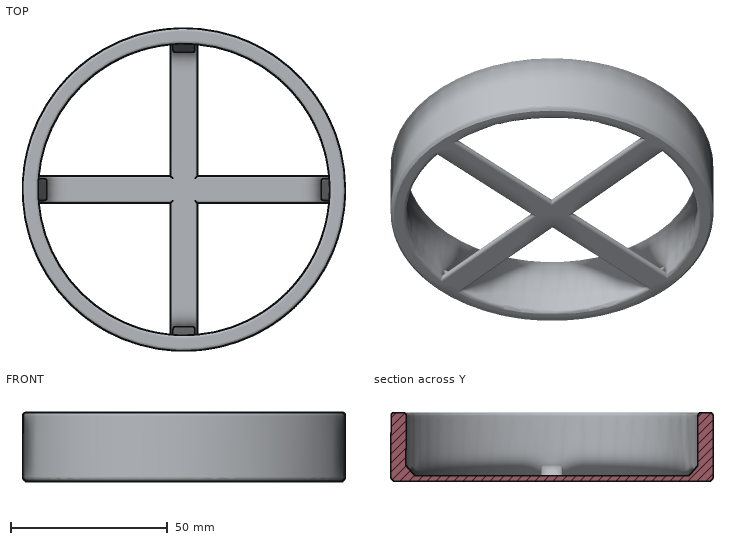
import cadquery as cq

outer_diameter = 103.0
inner_diameter = 93.0
ring_height = 22.0
rim_round = 1.0
foot_chamfer = 0.98
foot_blend = 1.1

bar_width = 8.7
bar_thickness = 2.0
bar_round = 0.8

gusset_width = bar_width - 2 * bar_round
gusset_leg = 2.8
gusset_height = 3.2
gusset_round = 0.8

inner_radius = inner_diameter / 2
wall = (outer_diameter - inner_diameter) / 2
root_radius = inner_radius + wall / 2


def make_ring():
    """Ring with rounded rims and a softened chamfer around the outside of its foot."""
    outer_radius = outer_diameter / 2
    body = cq.Workplane("XY").circle(outer_radius).extrude(ring_height)
    body = body.faces(">Z").edges().fillet(rim_round)
    body = body.faces("<Z").edges().chamfer(foot_chamfer)
    body = body.faces("%CONE").edges(">Z").fillet(foot_blend)
    ring = body.cut(cq.Workplane("XY").circle(inner_radius).extrude(ring_height))
    bore_edges = cq.selectors.RadiusNthSelector(0)
    return ring.faces("<Z or >Z").edges(bore_edges).fillet(rim_round)


def make_cross():
    """Crossed bars with rounded long edges, trimmed inside the ring wall."""
    bar_length = 2 * outer_diameter
    cross = (
        cq.Workplane("XY").rect(bar_length, bar_width).extrude(bar_thickness)
        .union(cq.Workplane("XY").rect(bar_width, bar_length).extrude(bar_thickness))
    )
    cross = cross.faces("<Z or >Z").edges().fillet(bar_round)
    return cross.intersect(cq.Workplane("XY").circle(root_radius).extrude(bar_thickness))


def make_gusset():
    """Gusset on the +X bar, with its sloped edges rounded."""
    toe = inner_radius - gusset_leg
    slope_ratio = gusset_height / gusset_leg
    rise = slope_ratio * (root_radius - toe)
    base = bar_thickness - bar_round
    profile = [
        (toe, base),
        (toe, bar_thickness),
        (root_radius, bar_thickness + rise),
        (root_radius, base),
    ]
    gusset = (
        cq.Workplane("XZ").polyline(profile).close()
        .extrude(gusset_width / 2, both=True)
    )
    slope_direction = cq.Vector(-slope_ratio, 0, 1)
    slope = gusset.faces(cq.DirectionMinMaxSelector(slope_direction))
    return slope.edges("#Y").fillet(gusset_round)


result = make_ring().union(make_cross())
for quarter in range(4):
    gusset = make_gusset().rotate((0, 0, 0), (0, 0, 1), 90 * quarter)
    result = result.union(gusset)